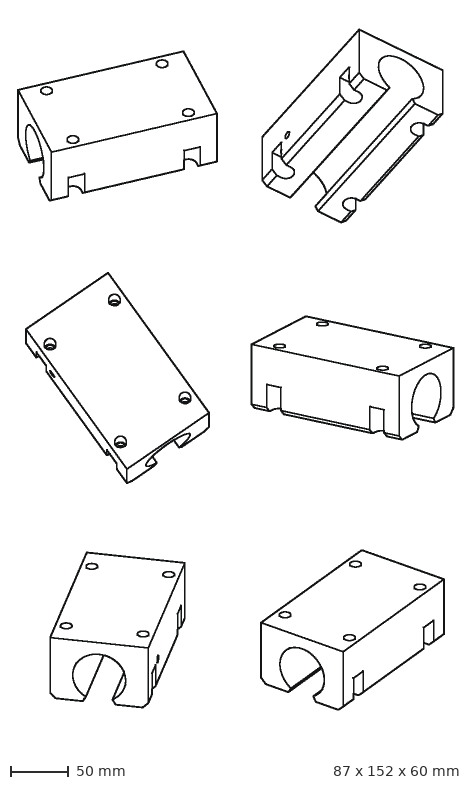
import cadquery as cq
import math

width = 87.0
length = 152.0
height = 60.0
chamfer = 5.0

bore_radius = 23.4
bore_height = 25.1
opening_angle = 60.0

hole_x = 34.0
hole_y = 53.0
hole_diameter = 8.7
hole_mouth_diameter = 10.0
hole_mouth_depth = 22.8
slot_width = 14.7
slot_height = 26.1

side_hole_y = 36.5
side_hole_height = 26.9
side_hole_diameter = 4.0
side_mouth_diameter = 6.5
side_mouth_depth = 12.2


def make_block():
    outline = [
        (-width / 2 + chamfer, 0),
        (width / 2 - chamfer, 0),
        (width / 2, chamfer),
        (width / 2, height),
        (-width / 2, height),
        (-width / 2, chamfer),
    ]
    return cq.Workplane("XZ").polyline(outline).close().extrude(length / 2, both=True)


def make_bore():
    """Round bore plus the wedge whose sides run radially from the bore axis."""
    bore = cq.Workplane("XZ").center(0, bore_height).circle(bore_radius).extrude(length / 2, both=True)
    opening_half_width = bore_height * math.tan(math.radians(opening_angle / 2))
    wedge = (
        cq.Workplane("XZ")
        .polyline([(0, bore_height), (-opening_half_width, 0), (opening_half_width, 0)])
        .close()
        .extrude(length / 2, both=True)
    )
    return bore.union(wedge)


def make_mounting_cut(side, y):
    """Stepped vertical hole and its round-ended slot; side is -1 or 1 along X."""
    x = side * hole_x
    hole = cq.Workplane("XY").center(x, y).circle(hole_diameter / 2).extrude(height)
    mouth = (
        cq.Workplane("XY", origin=(x, y, height))
        .circle(hole_mouth_diameter / 2)
        .extrude(-hole_mouth_depth)
    )
    slot_end = cq.Workplane("XY").center(x, y).circle(slot_width / 2).extrude(slot_height)
    slot_run = width / 2 - hole_x
    slot = (
        cq.Workplane("XY")
        .center(x + side * slot_run / 2, y)
        .rect(slot_run, slot_width)
        .extrude(slot_height)
    )
    return hole.union(mouth).union(slot_end).union(slot)


def make_side_hole():
    face = cq.Workplane("YZ", origin=(-width / 2, side_hole_y, side_hole_height))
    hole = face.circle(side_hole_diameter / 2).extrude(width / 2)
    mouth = face.circle(side_mouth_diameter / 2).extrude(side_mouth_depth)
    return hole.union(mouth)


result = make_block().cut(make_bore()).cut(make_side_hole())
for side in (-1, 1):
    for y in (-hole_y, hole_y):
        result = result.cut(make_mounting_cut(side, y))